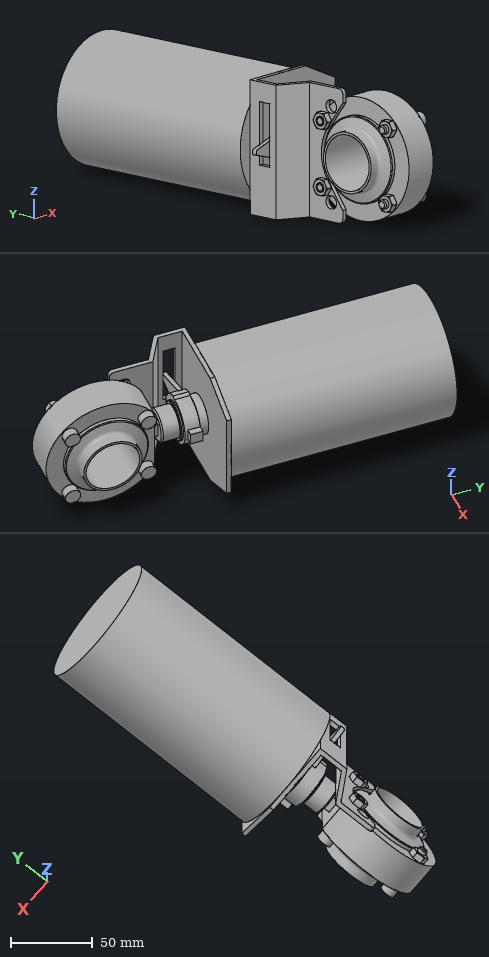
import cadquery as cq
import math


overall_length = 258.3
sheet = 3.0

flange_radius = 39.0
flange_half_width = 11.4
flange_flat_y = 32.5
hub_radius = 55.0 / 2
hub_end_x = 13.7
cone_start_radius = 26.9
cone_start_x = 14.2
cone_tilt = math.radians(19)
neck_blend = 2.5
neck_blend_end_x = 18.3
pipe_radius = 38.5 / 2
pipe_bore_radius = 35.5 / 2
pipe_end_x = 24.0
stem_size = 9.0
bolt_hole_diameter = 6.5

bolt_diameter = 6.0
bolt_tip_x = -18.9
bolt_tip_chamfer = 0.8
head_diameter = 10.0
head_height = 5.7
nut_across_flats = 10.0
nut_height = 4.5
nut_chamfer_tilt = math.radians(30)
inner_bolt_y, inner_bolt_z = 26.5, 21.0
outer_bolt_offset = 23.5

actuator_diameter = 85.0
actuator_start_y = 70.5
shaft_diameter = 26.0
shaft_end_y = 49.3
shaft_chamfer = 0.5
coupling_diameter = 22.0
coupling_end_y = 37.5
coupling_chamfer = 1.0

ring_top_y = 61.2
ring_height = 10.3
ring_radius = 15.5
lug_radius = 17.0
lug_outer_angle = 14.5
lug_root_angle = 7.0
ear_end_x = 19.5
ear_height = 8.3
ear_width = 7.7
pointer_tip_x = -41.5
pointer_tip_half_width = 1.5
pointer_root_x = -13.5
pointer_root_half_width = 10.0
pointer_tip_round = 1.3

bracket_left_x = -33.3
bracket_bend_y = 49.5
bracket_bend = math.radians(60)
bracket_foot_y = 12.0
bracket_corner_round = 3.0
plate_chamfer_x = 15.5
plate_chamfer_end_z = 30.2
window_y_low, window_y_high = 54.8, 62.8
window_z_low, window_z_high = -10.0, 30.0
relief_radius = 29.2
relief_edge_z = 33.8
spare_hole_diameter = 8.5
spare_hole_y, spare_hole_z = 21.2, 30.2
bracket_bolt_hole_diameter = 7.0

actuator_end_y = overall_length - flange_radius
bracket_half_height = actuator_diameter / 2
plate_low_y = actuator_start_y - sheet
foot_left_x = -flange_half_width - sheet
inner_bolts = [(inner_bolt_y, side * inner_bolt_z) for side in (1, -1)]
outer_bolts = [(-outer_bolt_offset, side * outer_bolt_offset) for side in (1, -1)]


def rod_x(radius, x_start, x_end, y=0.0, z=0.0):
    """Cylinder along X."""
    return cq.Workplane("YZ", origin=(x_start, y, z)).circle(radius).extrude(x_end - x_start)


def rod_y(radius, y_start, y_end):
    """Cylinder along Y on the actuator axis."""
    return cq.Workplane("XZ", origin=(0, y_end, 0)).circle(radius).extrude(y_end - y_start)


def polar(radius, degrees):
    angle = math.radians(degrees)
    return (radius * math.cos(angle), radius * math.sin(angle))


def make_neck():
    """Hub, cone and pipe end on the +X side, as a solid of revolution."""
    blend_centre_radius = pipe_radius + neck_blend

    def blend_point(angle):
        return (
            neck_blend_end_x - neck_blend * math.cos(angle),
            blend_centre_radius - neck_blend * math.sin(angle),
        )

    blend_start = blend_point(cone_tilt)
    blend_middle = blend_point((cone_tilt + math.pi / 2) / 2)
    profile = (
        cq.Workplane("XY")
        .moveTo(0, 0)
        .lineTo(0, hub_radius)
        .lineTo(hub_end_x, hub_radius)
        .lineTo(cone_start_x, cone_start_radius)
        .lineTo(*blend_start)
        .threePointArc(blend_middle, (neck_blend_end_x, pipe_radius))
        .lineTo(pipe_end_x, pipe_radius)
        .lineTo(pipe_end_x, 0)
        .close()
    )
    return profile.revolve(360, (0, 0, 0), (1, 0, 0))


def make_valve():
    flange = rod_x(flange_radius, -flange_half_width, flange_half_width)
    above_flat = cq.Workplane("XY").box(
        2 * flange_half_width, flange_radius, 2 * flange_radius
    ).translate((0, flange_flat_y + flange_radius / 2, 0))
    flange = flange.cut(above_flat)

    neck = make_neck()
    body = flange.union(neck).union(neck.mirror("YZ"))
    body = body.cut(rod_x(pipe_bore_radius, -pipe_end_x, pipe_end_x))

    for y, z in inner_bolts + outer_bolts:
        body = body.cut(rod_x(bolt_hole_diameter / 2, -flange_half_width, flange_half_width, y, z))

    stem = (
        cq.Workplane("XZ", origin=(0, coupling_end_y, 0))
        .rect(stem_size, stem_size)
        .extrude(coupling_end_y - flange_flat_y)
    )
    return body.union(stem)


def make_nut(y, z, seat_x):
    """Hexagon nut bearing on the plane x = seat_x, its outer corners turned to a cone."""
    corner_radius = nut_across_flats / 2 / math.cos(math.pi / 6)
    face_radius = nut_across_flats / 2
    cone_height = (corner_radius - face_radius) * math.tan(nut_chamfer_tilt)
    face_x = seat_x - nut_height
    hexagon = (
        cq.Workplane("YZ", origin=(face_x, y, z))
        .polygon(6, 2 * corner_radius)
        .circle(bolt_diameter / 2)
        .extrude(nut_height)
    )
    turned_blank = (
        cq.Workplane("XY", origin=(0, y, z))
        .polyline([
            (face_x, 0),
            (face_x, face_radius),
            (face_x + cone_height, corner_radius),
            (seat_x, corner_radius),
            (seat_x, 0),
        ])
        .close()
        .revolve(360, (0, 0, 0), (1, 0, 0))
    )
    return hexagon.intersect(turned_blank)


def make_bolt(y, z, nut_seat_x):
    """Bolt with its nut; the nut bears on the plane x = nut_seat_x."""
    shank = rod_x(bolt_diameter / 2, bolt_tip_x, flange_half_width, y, z)
    shank = shank.faces("<X").chamfer(bolt_tip_chamfer)
    head = rod_x(head_diameter / 2, flange_half_width, flange_half_width + head_height, y, z)
    return shank.union(head).union(make_nut(y, z, nut_seat_x))


def make_indicator():
    ring_low_y = ring_top_y - ring_height
    ring = rod_y(ring_radius, ring_low_y, ring_top_y)

    top_plane = cq.Workplane("XZ", origin=(0, ring_top_y, 0))
    lug = (
        top_plane.moveTo(0, 0)
        .lineTo(*polar(ring_radius, 90 + lug_root_angle))
        .lineTo(*polar(lug_radius, 90 + lug_outer_angle))
        .threePointArc(polar(lug_radius, 135), polar(lug_radius, 180 - lug_outer_angle))
        .lineTo(*polar(ring_radius, 180 - lug_root_angle))
        .close()
        .extrude(ring_height)
    )
    ear = top_plane.center(ear_end_x / 2, 0).rect(ear_end_x, ear_width).extrude(ear_height)
    pointer = (
        top_plane.polyline([
            (pointer_root_x, pointer_root_half_width),
            (pointer_tip_x, pointer_tip_half_width),
            (pointer_tip_x, -pointer_tip_half_width),
            (pointer_root_x, -pointer_root_half_width),
        ])
        .close()
        .extrude(sheet)
        .edges("|Y and <X")
        .fillet(pointer_tip_round)
    )
    return ring.union(lug).union(ear).union(pointer)


def make_actuator():
    cylinder = rod_y(actuator_diameter / 2, actuator_start_y, actuator_end_y)
    upper_shaft = rod_y(shaft_diameter / 2, ring_top_y, actuator_start_y)
    upper_shaft = upper_shaft.faces("<Y").chamfer(shaft_chamfer)
    lower_shaft = rod_y(shaft_diameter / 2, shaft_end_y, ring_top_y)
    lower_shaft = lower_shaft.faces("<Y").chamfer(shaft_chamfer)
    coupling = rod_y(coupling_diameter / 2, coupling_end_y, shaft_end_y)
    coupling = coupling.faces("<Y").chamfer(coupling_chamfer)
    shaft = upper_shaft.union(lower_shaft).union(coupling)
    return cylinder.union(shaft).union(make_indicator())


def make_folded_sheet():
    """Mounting plate, side wall, slanted web and foot as one constant-thickness strip."""
    bend_shift = sheet * math.tan(bracket_bend / 2)
    lower_bend_y = bracket_bend_y - (foot_left_x - bracket_left_x) / math.tan(bracket_bend)
    wall_inner_x = bracket_left_x + sheet
    return (
        cq.Workplane("XY", origin=(0, 0, -bracket_half_height))
        .polyline([
            (actuator_diameter / 2, actuator_start_y),
            (bracket_left_x, actuator_start_y),
            (bracket_left_x, bracket_bend_y),
            (foot_left_x, lower_bend_y),
            (foot_left_x, bracket_foot_y),
            (-flange_half_width, bracket_foot_y),
            (-flange_half_width, lower_bend_y + bend_shift),
            (wall_inner_x, bracket_bend_y + bend_shift),
            (wall_inner_x, plate_low_y),
            (actuator_diameter / 2, plate_low_y),
        ])
        .close()
        .extrude(2 * bracket_half_height)
    )


def make_hub_relief():
    """Opening in the foot: a round about the hub with flanks tangent to it."""
    edge_distance = math.hypot(bracket_foot_y, relief_edge_z)
    edge_angle = math.atan2(relief_edge_z, bracket_foot_y)
    tangent_angle = edge_angle - math.acos(relief_radius / edge_distance)
    tangent_y = relief_radius * math.cos(tangent_angle)
    tangent_z = relief_radius * math.sin(tangent_angle)
    return (
        cq.Workplane("YZ", origin=(foot_left_x, 0, 0))
        .moveTo(0, relief_edge_z)
        .lineTo(bracket_foot_y, relief_edge_z)
        .lineTo(tangent_y, tangent_z)
        .threePointArc((relief_radius, 0), (tangent_y, -tangent_z))
        .lineTo(bracket_foot_y, -relief_edge_z)
        .lineTo(0, -relief_edge_z)
        .close()
        .extrude(sheet)
    )


def make_bracket():
    bracket = make_folded_sheet()
    bracket = bracket.edges("|X and <Y").fillet(bracket_corner_round)

    for side in (1, -1):
        plate_corner = (
            cq.Workplane("XZ", origin=(0, actuator_start_y, 0))
            .polyline([
                (plate_chamfer_x, side * bracket_half_height),
                (actuator_diameter / 2, side * bracket_half_height),
                (actuator_diameter / 2, side * plate_chamfer_end_z),
            ])
            .close()
            .extrude(sheet)
        )
        bracket = bracket.cut(plate_corner)

    window = cq.Workplane("XY").box(
        sheet, window_y_high - window_y_low, window_z_high - window_z_low, centered=False
    ).translate((bracket_left_x, window_y_low, window_z_low))
    bracket = bracket.cut(window)
    bracket = bracket.cut(rod_y(shaft_diameter / 2, plate_low_y, actuator_start_y))
    bracket = bracket.cut(make_hub_relief())

    for y, z in inner_bolts:
        bolt_hole = rod_x(bracket_bolt_hole_diameter / 2, foot_left_x, -flange_half_width, y, z)
        bracket = bracket.cut(bolt_hole)
    for z in (spare_hole_z, -spare_hole_z):
        spare_hole = rod_x(spare_hole_diameter / 2, foot_left_x, -flange_half_width, spare_hole_y, z)
        bracket = bracket.cut(spare_hole)
    return bracket


valve = make_valve()
actuator = make_actuator()
bracket = make_bracket()
bolts = [make_bolt(y, z, foot_left_x) for y, z in inner_bolts]
bolts += [make_bolt(y, z, -flange_half_width) for y, z in outer_bolts]

bodies = [valve, actuator, bracket, *bolts]
result = cq.Compound.makeCompound([body.solids().val() for body in bodies])